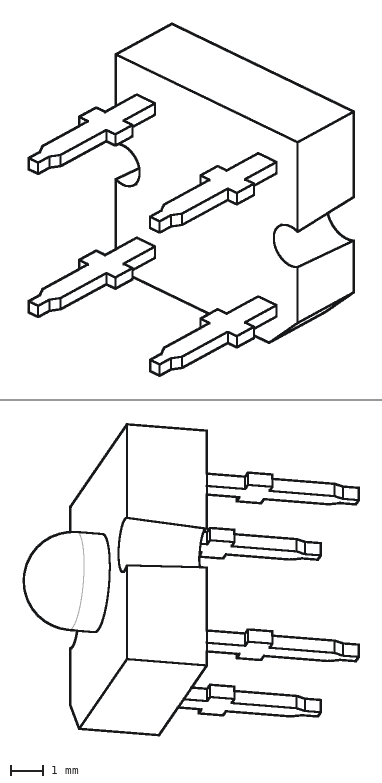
import cadquery as cq
import math

body_side = 7.6
body_depth = 2.5
corner_cut = 1.2

lens_radius = 1.5
overall_length = 9.8

notch_inset = 0.3
notch_radius = 0.7
notch_taper_angle = 3.0

lead_pitch = 5.08
lead_length = 5.0
lead_thickness = 0.4
lead_width = 0.76
shoulder_width = 1.52
shoulder_start = 1.4
shoulder_end = 2.17
tip_width = 0.4
taper_start = 4.19
taper_end = 4.5

half_side = body_side / 2
lens_cylinder_height = overall_length - lead_length - body_depth - lens_radius


def make_body():
    """Square block from Y = 0 to body_depth with its (+X, -Z) edge cut off."""
    block = cq.Workplane("XY").box(body_side, body_depth, body_side, centered=(True, False, True))
    return block.edges(">X and <Z").chamfer(corner_cut)


def make_lens():
    """Revolved dome standing on the +Y face, around the Y axis."""
    base_y = body_depth
    shoulder_y = base_y + lens_cylinder_height
    apex_y = shoulder_y + lens_radius
    arc_offset = lens_radius * math.sqrt(0.5)
    return (
        cq.Workplane("XY")
        .moveTo(0, base_y)
        .lineTo(lens_radius, base_y)
        .lineTo(lens_radius, shoulder_y)
        .threePointArc((arc_offset, shoulder_y + arc_offset), (0, apex_y))
        .close()
        .revolve(360, (0, 0, 0), (0, 1, 0))
    )


def make_notch(side):
    """Conical cutter along Y for the side face at X = side * half_side."""
    wide_radius = notch_radius + body_depth * math.tan(math.radians(notch_taper_angle))
    center = cq.Vector(side * (half_side - notch_inset), 0, 0)
    cone = cq.Solid.makeCone(notch_radius, wide_radius, body_depth, center, cq.Vector(0, 1, 0))
    return cq.Workplane(cone)


def make_lead(x, z):
    """Flat shouldered lead pointing to -Y, narrowing to a small tip."""
    half_profile = [
        (lead_width / 2, 0),
        (lead_width / 2, -shoulder_start),
        (shoulder_width / 2, -shoulder_start),
        (shoulder_width / 2, -shoulder_end),
        (lead_width / 2, -shoulder_end),
        (lead_width / 2, -taper_start),
        (tip_width / 2, -taper_end),
        (tip_width / 2, -lead_length),
    ]
    mirrored_profile = [(-px, py) for px, py in reversed(half_profile)]
    return (
        cq.Workplane("XY")
        .polyline(half_profile + mirrored_profile)
        .close()
        .extrude(lead_thickness / 2, both=True)
        .translate((x, 0, z))
    )


result = make_body().union(make_lens())
for side in (-1, 1):
    result = result.cut(make_notch(side))
for x_side in (-1, 1):
    for z_side in (-1, 1):
        result = result.union(make_lead(x_side * lead_pitch / 2, z_side * lead_pitch / 2))